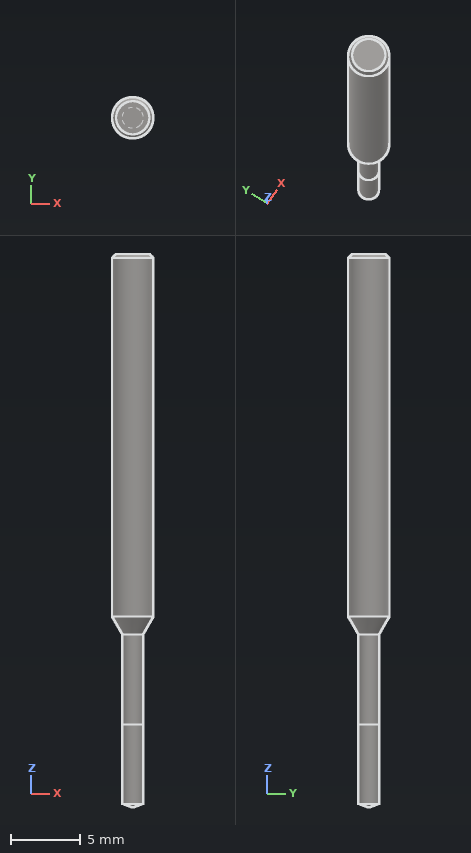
import cadquery as cq

total_length = 40.0
shank_diameter = 3.0
neck_diameter = 1.5

tip_height = 0.3
cutter_top = 6.0
neck_top = 12.5
shank_bottom = 13.8

chamfer_size = 0.3

shank_radius = shank_diameter / 2
neck_radius = neck_diameter / 2
cutter_radius = neck_radius


def revolved_body(half_profile):
    """Turn an outline of (radius, height) points around the Z axis."""
    return (
        cq.Workplane("XZ")
        .polyline(half_profile)
        .close()
        .revolve(360, (0, 0, 0), (0, 1, 0))
    )


def make_holder():
    """Chamfered shank that tapers down to a slim neck."""
    return revolved_body([
        (0, cutter_top),
        (neck_radius, cutter_top),
        (neck_radius, neck_top),
        (shank_radius, shank_bottom),
        (shank_radius, total_length - chamfer_size),
        (shank_radius - chamfer_size, total_length),
        (0, total_length),
    ])


def make_cutter():
    """Cylindrical cutter with a shallow conical tip, flush with the neck it meets."""
    return revolved_body([
        (0, 0),
        (cutter_radius, tip_height),
        (cutter_radius, cutter_top),
        (0, cutter_top),
    ])


holder = make_holder()
cutter = make_cutter()

result = cq.Compound.makeCompound([holder.val(), cutter.val()])